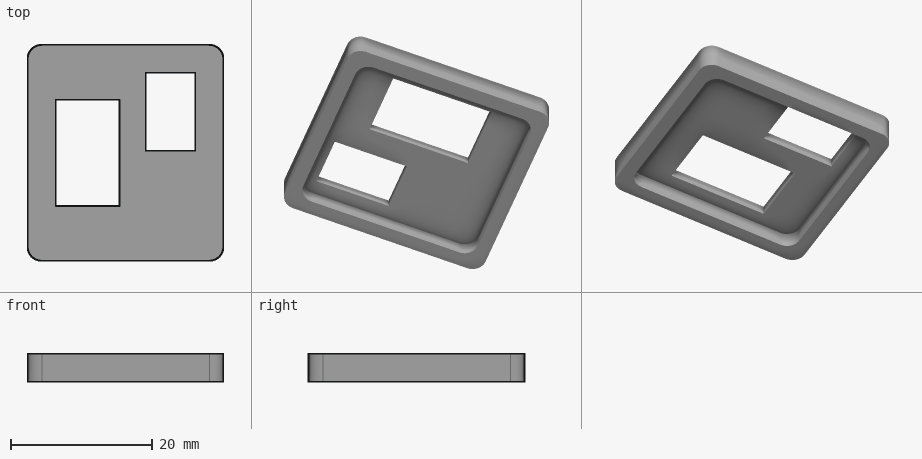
import cadquery as cq

WALL = 2.0
BOARD_LENGTH_X = 23.74
BOARD_LENGTH_Y = 26.6
LENGTH_X = BOARD_LENGTH_X + 2 * WALL
LENGTH_Y = BOARD_LENGTH_Y + 2 * WALL
HEIGHT = 4.0
CORNER_RADIUS = 2.0

TOP_THICKNESS = 1.5
POCKET_DEPTH = HEIGHT - TOP_THICKNESS
POCKET_CORNER_RADIUS = 2.0

LARGE_WINDOW_X = 9.0
LARGE_WINDOW_Y = 15.0
SMALL_WINDOW_X = 7.0
SMALL_WINDOW_Y = 11.0
WINDOW_SIDE_GAP = 2.0
LARGE_WINDOW_BACK_GAP = 5.8
SMALL_WINDOW_BACK_GAP = 2.0


def rounded_block(size_x, size_y, height, radius):
    """Upright block standing on Z = 0, centred on the Z axis, with rounded corners."""
    block = cq.Workplane("XY").box(size_x, size_y, height, centered=(True, True, False))
    return block.edges("|Z").fillet(radius)


def window(left, back, size_x, size_y):
    """Rectangular through cutter placed by its -X side and its +Y side."""
    cutter = cq.Workplane("XY").box(size_x, size_y, HEIGHT, centered=False)
    return cutter.translate((left, back - size_y, 0))


pocket_right = BOARD_LENGTH_X / 2
pocket_left = -pocket_right
pocket_back = BOARD_LENGTH_Y / 2

body = rounded_block(LENGTH_X, LENGTH_Y, HEIGHT, CORNER_RADIUS)
pocket = rounded_block(BOARD_LENGTH_X, BOARD_LENGTH_Y, POCKET_DEPTH, POCKET_CORNER_RADIUS)

large_window = window(
    pocket_left + WINDOW_SIDE_GAP,
    pocket_back - LARGE_WINDOW_BACK_GAP,
    LARGE_WINDOW_X,
    LARGE_WINDOW_Y,
)
small_window = window(
    pocket_right - WINDOW_SIDE_GAP - SMALL_WINDOW_X,
    pocket_back - SMALL_WINDOW_BACK_GAP,
    SMALL_WINDOW_X,
    SMALL_WINDOW_Y,
)

result = body.cut(pocket).cut(large_window).cut(small_window)